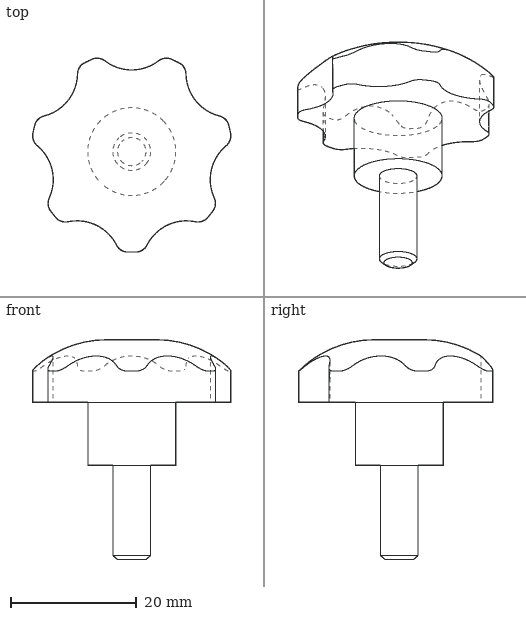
import cadquery as cq
import math


stud_diameter = 6.0
stud_length = 15.0
stud_tip_diameter = 4.5
stud_chamfer_height = 0.65

hub_diameter = 14.0
hub_height = 10.0

lobe_count = 7
head_radius = 16.0
head_height = 10.0
rim_height = 5.0
dome_arc_radius = 17.0
scallop_radius = 7.0
scallop_floor_radius = 13.0
lobe_fillet = 2.0
first_scallop_angle = 90.0

hub_base_z = stud_length
head_base_z = hub_base_z + hub_height
rim_z = head_base_z + rim_height
crown_z = head_base_z + head_height


def revolve_about_axis(profile):
    """Turn a closed half-section in the XZ plane fully around the Z axis."""
    return profile.revolve(360, (0, 0, 0), (0, 1, 0))


def make_stud():
    """Plain shank with a chamfered tip."""
    stud_radius = stud_diameter / 2
    profile = (
        cq.Workplane("XZ")
        .lineTo(stud_tip_diameter / 2, 0)
        .lineTo(stud_radius, stud_chamfer_height)
        .lineTo(stud_radius, stud_length)
        .lineTo(0, stud_length)
        .close()
    )
    return revolve_about_axis(profile)


def make_hub():
    """Cylindrical neck that carries the head."""
    return cq.Workplane("XY", origin=(0, 0, hub_base_z)).circle(hub_diameter / 2).extrude(hub_height)


def make_star_prism():
    """Full-height disc with scallops cut into its rim and the lobe corners rounded."""
    head_plane = cq.Workplane("XY", origin=(0, 0, head_base_z))
    disc = head_plane.circle(head_radius).extrude(head_height)
    scallop_centre_radius = scallop_floor_radius + scallop_radius
    scallops = (
        head_plane
        .polarArray(scallop_centre_radius, first_scallop_angle, 360, lobe_count)
        .circle(scallop_radius)
        .extrude(head_height)
    )
    return disc.cut(scallops).edges("|Z").fillet(lobe_fillet)


def make_dome():
    """Revolved envelope: straight rim, then an arc that meets the flat crown tangentially."""
    arc_drop = crown_z - rim_z
    arc_sweep = math.acos(1 - arc_drop / dome_arc_radius)
    crown_flat_radius = head_radius - dome_arc_radius * math.sin(arc_sweep)
    half_sweep = arc_sweep / 2
    arc_middle = (
        crown_flat_radius + dome_arc_radius * math.sin(half_sweep),
        crown_z - dome_arc_radius * (1 - math.cos(half_sweep)),
    )
    profile = (
        cq.Workplane("XZ")
        .moveTo(0, head_base_z)
        .lineTo(head_radius, head_base_z)
        .lineTo(head_radius, rim_z)
        .threePointArc(arc_middle, (crown_flat_radius, crown_z))
        .lineTo(0, crown_z)
        .close()
    )
    return revolve_about_axis(profile)


head = make_star_prism().intersect(make_dome())
result = head.union(make_hub()).union(make_stud())